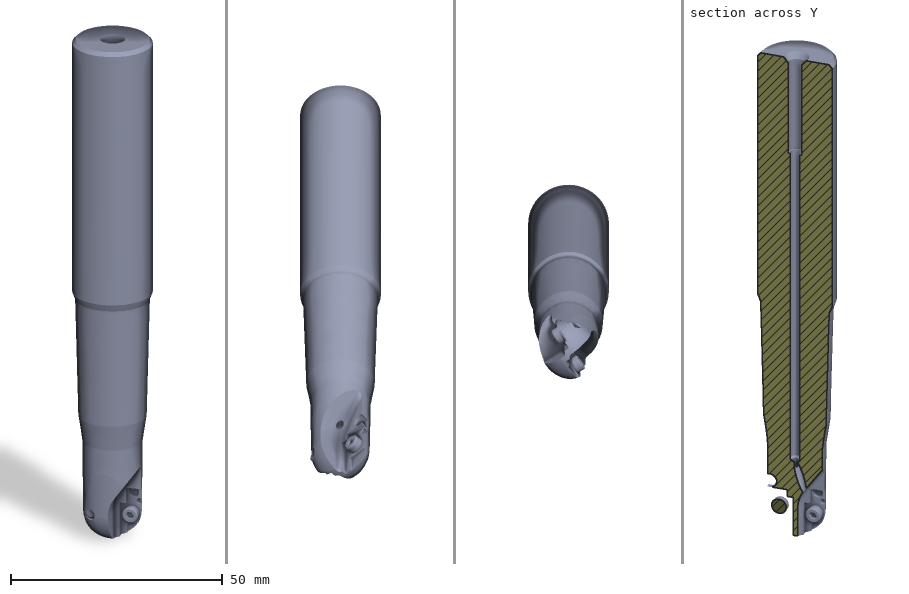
import cadquery as cq
import math


CLEAR = 15.1

LENGTH = 126.1
SHANK_DIAMETER = 19.0
SHANK_R = SHANK_DIAMETER / 2
TOP_CHAMFER = 0.9
SHANK_BOTTOM_Z = 62.3
NECK_TOP_R = 8.8
NECK_TOP_Z = 60.5
NECK_BOTTOM_R = 8.1
NECK_BOTTOM_Z = 31.0
NOSE_TOP_DIAMETER = 14.2
NOSE_TOP_R = NOSE_TOP_DIAMETER / 2
NOSE_TOP_Z = 24.6
BALL_R = 6.9
BALL_Z = BALL_R

MOUTH_R = 3.0
MOUTH_DEPTH = 1.5
BORE_R = 1.9
BORE_BOTTOM_Z = 100.9
CHANNEL_R = 1.5
CHANNEL_BOTTOM_Z = 20.2
OUTLET_R = 0.9
OUTLET_LENGTH = 11.3

GULLET_ARC_START_Z = 7.6
GULLET_RUNOUT_ANGLE = 36.0
GULLET_FILLET = 1.0

SEAT_DEPTH = 1.3
LOWER_STEP_DEPTH = 1.8
DEEP_DEPTH = 2.4
STEP_OFFSET = 1.5

RELIEF_R = 7.7
RELIEF_TOP_Z = 18.4
RELIEF_ANGLE = 2.8

HEAD_R = 1.9
HEAD_RISE = 0.8
HEAD_CHAMFER = 0.3
SCREW_SHANK_R = 1.4
SCREW_TIP_Y = 4.5
SCREW_TIP_CHAMFER = 0.4
SOCKET_WIDTH = 2.0
SOCKET_DEPTH = 1.3

SIDES = [
    dict(
        turn=0, gullet_wall=0.8, gullet_arc=8.0,
        pocket_wall=1.8, seat_top=8.8, pocket_top=12.7, lower_step_top=3.5,
        notch_x=4.9, notch_z=11.3, notch_r=1.3,
        edge_notch_x=6.3, edge_notch_z=9.2, edge_notch_r=0.8,
        screw_x=4.4, screw_z=6.0,
        outlet_x=2.4, outlet_z=12.2,
    ),
    dict(
        turn=180, gullet_wall=-0.3, gullet_arc=14.8,
        pocket_wall=0.5, seat_top=10.1, pocket_top=11.9, lower_step_top=4.7,
        notch_x=6.3, notch_z=13.6, notch_r=1.6,
        edge_notch_x=6.3, edge_notch_z=10.6, edge_notch_r=0.8,
        screw_x=4.0, screw_z=7.2,
        outlet_x=1.5, outlet_z=13.9,
    ),
]
OUTLET_Y = -1.8


def turned(shape, side):
    """Turn a shape about Z to its cutting side."""
    return shape.rotate((0, 0, 0), (0, 0, 1), side["turn"])


def rod_y(x, z, radius, y_start, y_end):
    """Cylinder along Y between two Y values."""
    return (
        cq.Workplane("XZ", origin=(x, y_start, z))
        .circle(radius)
        .extrude(y_start - y_end)
    )


def block(x_min, z_max, y_max):
    """Cutting block that opens to +X, -Y and -Z."""
    return cq.Workplane("XY").box(CLEAR, CLEAR, CLEAR + z_max, centered=False).translate(
        (x_min, y_max - CLEAR, -CLEAR)
    )


def blank():
    """Turned outline of the shank, the neck and the ball nose."""
    arc_mid = BALL_R * math.sqrt(0.5)
    return (
        cq.Workplane("XZ")
        .moveTo(0, BALL_Z - BALL_R)
        .threePointArc((arc_mid, BALL_Z - arc_mid), (BALL_R, BALL_Z))
        .lineTo(NOSE_TOP_R, NOSE_TOP_Z)
        .lineTo(NECK_BOTTOM_R, NECK_BOTTOM_Z)
        .lineTo(NECK_TOP_R, NECK_TOP_Z)
        .lineTo(SHANK_R, SHANK_BOTTOM_Z)
        .lineTo(SHANK_R, LENGTH - TOP_CHAMFER)
        .lineTo(SHANK_R - TOP_CHAMFER, LENGTH)
        .lineTo(0, LENGTH)
        .close()
        .revolve(360, (0, 0, 0), (0, 1, 0))
    )


def coolant_bore():
    """Stepped bore down the axis with a conical mouth."""
    return (
        cq.Workplane("XZ")
        .moveTo(0, LENGTH)
        .lineTo(MOUTH_R, LENGTH)
        .lineTo(BORE_R, LENGTH - MOUTH_DEPTH)
        .lineTo(BORE_R, BORE_BOTTOM_Z)
        .lineTo(CHANNEL_R, BORE_BOTTOM_Z)
        .lineTo(CHANNEL_R, CHANNEL_BOTTOM_Z)
        .lineTo(0, CHANNEL_BOTTOM_Z - CHANNEL_R)
        .close()
        .revolve(360, (0, 0, 0), (0, 1, 0))
    )


def coolant_outlet(side):
    """Slanted hole from the axial channel to the gullet wall."""
    start = cq.Vector(0, 0, CHANNEL_BOTTOM_Z)
    path = cq.Vector(side["outlet_x"], OUTLET_Y, side["outlet_z"]) - start
    hole = cq.Solid.makeCylinder(OUTLET_R, OUTLET_LENGTH, start, path)
    return turned(cq.Workplane(hole), side)


def gullet(side):
    """Chip space: upright wall, arc and sloping run-out over a flat floor."""
    angle = math.radians(GULLET_RUNOUT_ANGLE)
    wall, radius = side["gullet_wall"], side["gullet_arc"]

    def arc_point(at):
        return (
            wall + radius * (1 - math.cos(at)),
            GULLET_ARC_START_Z + radius * math.sin(at),
        )

    end_x, end_z = arc_point(angle)
    runout_z = end_z + (CLEAR - end_x) / math.tan(angle)
    cutter = (
        cq.Workplane("XZ")
        .moveTo(wall, -CLEAR)
        .lineTo(wall, GULLET_ARC_START_Z)
        .threePointArc(arc_point(angle / 2), (end_x, end_z))
        .lineTo(CLEAR, runout_z)
        .lineTo(CLEAR, -CLEAR)
        .close()
        .extrude(CLEAR)
        .faces(">Y")
        .edges()
        .fillet(GULLET_FILLET)
    )
    return turned(cutter, side)


def insert_pocket(side):
    """Insert seat below the gullet floor, with its narrower steps and round notches."""
    wall = side["pocket_wall"]
    step_wall = wall + STEP_OFFSET
    pocket = (
        block(wall, side["seat_top"], SEAT_DEPTH)
        .union(block(step_wall, side["pocket_top"], SEAT_DEPTH))
        .union(block(step_wall, side["lower_step_top"], LOWER_STEP_DEPTH))
    )
    for name in ("notch", "edge_notch"):
        x, z, radius = side[name + "_x"], side[name + "_z"], side[name + "_r"]
        pocket = pocket.union(rod_y(x, z, radius, -CLEAR, DEEP_DEPTH))
    return turned(pocket, side)


def screw_hole(side):
    """Counterbore for the screw head and a through hole for its shank."""
    x, z = side["screw_x"], side["screw_z"]
    counterbore = rod_y(x, z, HEAD_R, -CLEAR, DEEP_DEPTH)
    return turned(counterbore.union(rod_y(x, z, SCREW_SHANK_R, 0, CLEAR)), side)


def flank_relief(side):
    """Shallow relief behind the cutting side, left by a wide tilted cylinder with a ball end."""
    nose_taper = (NOSE_TOP_R - BALL_R) / (NOSE_TOP_Z - BALL_Z)
    flank_y = BALL_R + nose_taper * (RELIEF_TOP_Z - BALL_Z)
    axis_y = flank_y - RELIEF_R
    kept = (
        cq.Workplane("XY", origin=(0, axis_y, BALL_Z))
        .circle(RELIEF_R)
        .extrude(CLEAR)
        .union(cq.Workplane("XY", origin=(0, axis_y, BALL_Z)).sphere(RELIEF_R))
        .rotate((0, flank_y, RELIEF_TOP_Z), (1, flank_y, RELIEF_TOP_Z), -RELIEF_ANGLE)
    )
    zone = cq.Workplane("XY").box(2 * CLEAR, CLEAR, RELIEF_TOP_Z, centered=(True, False, False))
    return turned(zone.cut(kept), side)


def cutter_body():
    body = blank().cut(coolant_bore())
    for side in SIDES:
        for feature in (gullet, insert_pocket, screw_hole, coolant_outlet, flank_relief):
            body = body.cut(feature(side))
    return body


def insert_screw(side):
    """Screw with a hexagon socket, seated in its counterbore."""
    x, z = side["screw_x"], side["screw_z"]
    head = rod_y(x, z, HEAD_R, -HEAD_RISE, DEEP_DEPTH).faces("<Y").chamfer(HEAD_CHAMFER)
    shank = rod_y(x, z, SCREW_SHANK_R, 0, SCREW_TIP_Y).faces(">Y").chamfer(SCREW_TIP_CHAMFER)
    socket = (
        cq.Workplane("XZ", origin=(x, -HEAD_RISE, z))
        .polygon(6, SOCKET_WIDTH)
        .extrude(-SOCKET_DEPTH)
    )
    return turned(head.union(shank).cut(socket), side)


body = cutter_body()
screws = [insert_screw(side) for side in SIDES]

result = cq.Compound.makeCompound([body.val(), *[screw.val() for screw in screws]])